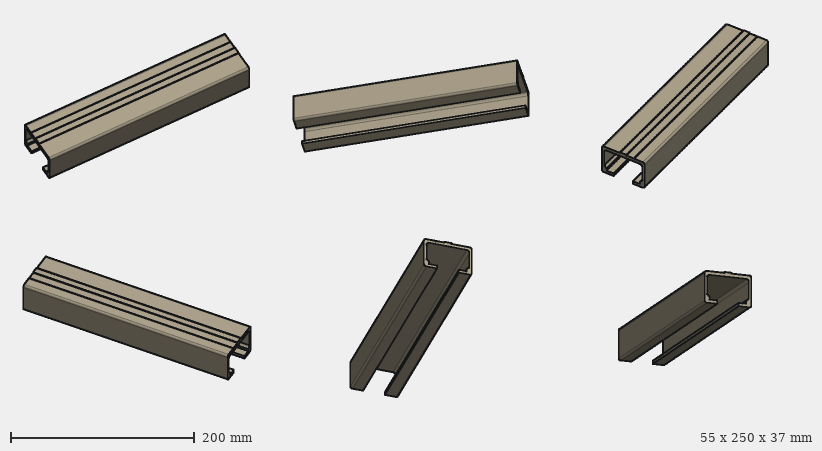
import cadquery as cq

length = 250.0
width = 55.0
height = 37.0

strip_width = 8.2
strip_height = 1.0

roof_thickness = 4.2
wall_thickness = 3.0
outer_radius = 2.5
inner_radius = 3.2

slot_width = 25.0
lip_thickness = 3.8
foot_thickness = 6.0
foot_slope_bottom = 6.8
foot_slope_top = 9.8

groove_width = 0.5
groove_depth = 0.5
groove_offset = 13.8

roof_top = height - strip_height
roof_bottom = roof_top - roof_thickness


def extrude_along_rail(sketch):
    """Extrude an XZ sketch over the full length, centred on Y = 0."""
    return sketch.extrude(length / 2, both=True)


def make_block():
    """Solid outer body with rounded long edges."""
    outline = cq.Workplane("XZ").center(0, roof_top / 2).rect(width, roof_top)
    return extrude_along_rail(outline).edges("|Y").fillet(outer_radius)


def make_channel():
    """Hollow interior, including the slot that opens it downwards."""
    half_cavity = width / 2 - wall_thickness
    half_foot_gap = width / 2 - foot_thickness
    right_side = [
        (slot_width / 2, 0),
        (slot_width / 2, lip_thickness),
        (half_foot_gap, lip_thickness),
        (half_foot_gap, foot_slope_bottom),
        (half_cavity, foot_slope_top),
        (half_cavity, roof_bottom),
    ]
    left_side = [(-x, z) for x, z in reversed(right_side)]
    outline = cq.Workplane("XZ").polyline(right_side + left_side).close()
    channel = extrude_along_rail(outline)
    return channel.faces(">Z").edges("|Y").fillet(inner_radius)


def make_strip():
    """Raised strip, sunk to the underside of the roof for a full joint."""
    strip_depth = height - roof_bottom
    outline = cq.Workplane("XZ").center(0, height - strip_depth / 2).rect(strip_width, strip_depth)
    return extrude_along_rail(outline)


def make_groove():
    """V-shaped marking groove."""
    center_x = groove_offset - width / 2
    corners = [
        (center_x - groove_width / 2, roof_top),
        (center_x, roof_top - groove_depth),
        (center_x + groove_width / 2, roof_top),
    ]
    return extrude_along_rail(cq.Workplane("XZ").polyline(corners).close())


result = make_block().cut(make_channel()).union(make_strip()).cut(make_groove())